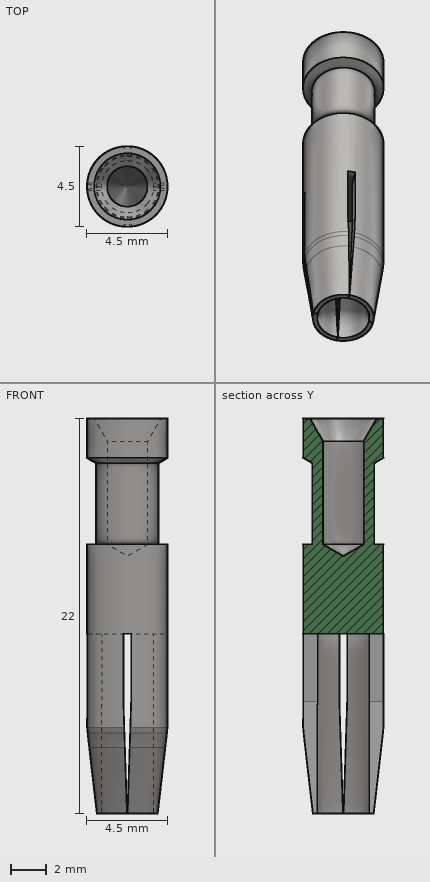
import cadquery as cq
import math

total_length = 22.0
body_radius = 4.5 / 2

head_length = 2.2
neck_radius = 3.5 / 2
neck_bottom_z = 15.0
head_underside_angle = 30.0

cup_mouth_radius = 3.7 / 2
cup_bore_radius = 2.25 / 2
cup_mouth_half_angle = 30.0
cup_depth = total_length - neck_bottom_z
drill_point_half_angle = 60.0

tip_radius = 1.7
taper_top_radius, taper_top_z = 2.13, 3.7
shoulder_low_radius, shoulder_low_z = 2.22, 4.5
shoulder_high_z = 4.8

socket_radius = 2.9 / 2
slot_length = 10.0
slot_width = 0.42
slot_tip_width = 0.02
prong_bend_z = 6.25


def make_body():
    head_bottom_z = total_length - head_length
    underside_drop = (body_radius - neck_radius) * math.tan(math.radians(head_underside_angle))
    return (
        cq.Workplane("XZ")
        .moveTo(0, 0)
        .lineTo(tip_radius, 0)
        .lineTo(taper_top_radius, taper_top_z)
        .lineTo(shoulder_low_radius, shoulder_low_z)
        .lineTo(body_radius, shoulder_high_z)
        .lineTo(body_radius, neck_bottom_z)
        .lineTo(neck_radius, neck_bottom_z)
        .lineTo(neck_radius, head_bottom_z - underside_drop)
        .lineTo(body_radius, head_bottom_z)
        .lineTo(body_radius, total_length)
        .lineTo(0, total_length)
        .close()
        .revolve(360, (0, 0, 0), (0, 1, 0))
    )


def make_wire_cup():
    mouth_depth = (cup_mouth_radius - cup_bore_radius) / math.tan(math.radians(cup_mouth_half_angle))
    point_depth = cup_bore_radius / math.tan(math.radians(drill_point_half_angle))
    bore_bottom_z = total_length - cup_depth
    return (
        cq.Workplane("XZ")
        .moveTo(0, total_length)
        .lineTo(cup_mouth_radius, total_length)
        .lineTo(cup_bore_radius, total_length - mouth_depth)
        .lineTo(cup_bore_radius, bore_bottom_z)
        .lineTo(0, bore_bottom_z - point_depth)
        .close()
        .revolve(360, (0, 0, 0), (0, 1, 0))
    )


def make_socket():
    return cq.Workplane("XY").circle(socket_radius).extrude(slot_length)


def make_slot(plane):
    """Slot through the whole diameter, narrowing from the prong bend down to the tip."""
    return (
        cq.Workplane(plane)
        .moveTo(-slot_tip_width / 2, 0)
        .lineTo(slot_tip_width / 2, 0)
        .lineTo(slot_width / 2, prong_bend_z)
        .lineTo(slot_width / 2, slot_length)
        .lineTo(-slot_width / 2, slot_length)
        .lineTo(-slot_width / 2, prong_bend_z)
        .close()
        .extrude(2 * body_radius, both=True)
    )


result = make_body().cut(make_wire_cup()).cut(make_socket())
for slot_plane in ("XZ", "YZ"):
    result = result.cut(make_slot(slot_plane))